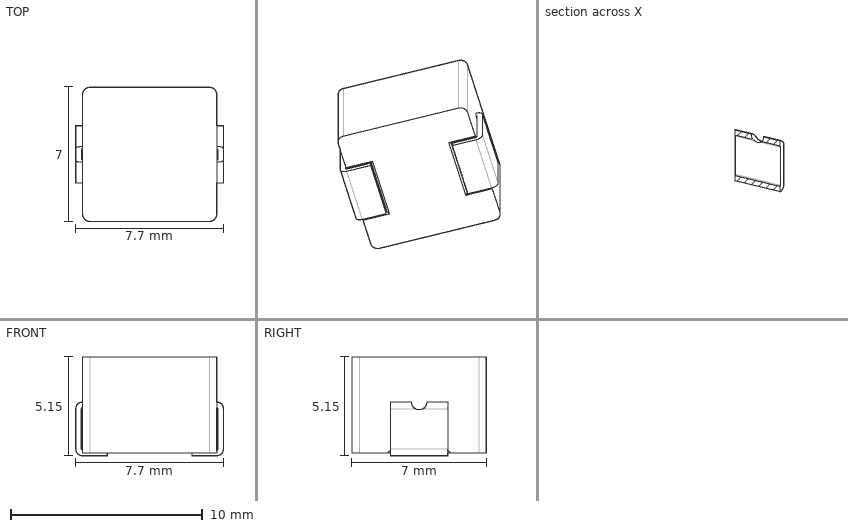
import cadquery as cq
import math

overall_length = 7.7
overall_height = 5.15

body_side = 7.0
body_corner_radius = 0.385
standoff = 0.15
body_height = overall_height - standoff

lead_thickness = 0.3
lead_width = 3.0
lead_height = 2.8
pad_end = 2.2
notch_radius = 0.4
lead_embed = 0.23

pocket_depth = 0.1
pocket_margin = 0.04
pocket_taper = math.radians(45)

body_half = body_side / 2
lead_outer = overall_length / 2
lead_inner = lead_outer - lead_thickness
bend_outer_radius = lead_outer - body_half
bend_inner_radius = bend_outer_radius - lead_thickness
lead_top = lead_height - standoff


def make_body():
    """Square block with rounded vertical corners."""
    block = cq.Workplane("XY").box(body_side, body_side, body_height, centered=(True, True, False))
    return block.edges("|Z").fillet(body_corner_radius)


def make_lead():
    """Lead on the +X side: C-shaped strip with a round notch in its upper bend."""
    diagonal = math.sqrt(0.5)
    upper_center = lead_top - bend_outer_radius
    lower_center = bend_outer_radius - standoff
    arm_end = body_half - lead_embed

    def bend_point(radius, center_z, direction):
        return (body_half + radius * diagonal, center_z + direction * radius * diagonal)

    strip = (
        cq.Workplane("XZ")
        .moveTo(pad_end, -standoff)
        .lineTo(body_half, -standoff)
        .threePointArc(bend_point(bend_outer_radius, lower_center, -1), (lead_outer, lower_center))
        .lineTo(lead_outer, upper_center)
        .threePointArc(bend_point(bend_outer_radius, upper_center, 1), (body_half, lead_top))
        .lineTo(arm_end, lead_top)
        .lineTo(arm_end, lead_top - lead_thickness)
        .lineTo(body_half, lead_top - lead_thickness)
        .threePointArc(bend_point(bend_inner_radius, upper_center, 1), (lead_inner, upper_center))
        .lineTo(lead_inner, lower_center)
        .threePointArc(
            bend_point(bend_inner_radius, lower_center, -1),
            (body_half, lead_thickness - standoff),
        )
        .lineTo(pad_end, lead_thickness - standoff)
        .close()
        .extrude(lead_width / 2, both=True)
    )
    notch = (
        cq.Workplane("YZ", origin=(body_half, 0, lead_top))
        .circle(notch_radius)
        .extrude(bend_outer_radius)
    )
    return strip.cut(notch)


def make_pocket():
    """Pocket on the +X side: open at the side face, sloping walls on the other three sides."""
    roof_length = body_half - pad_end + pocket_margin
    roof_width = lead_width + 2 * pocket_margin
    spread = pocket_depth * math.tan(pocket_taper)
    return (
        cq.Workplane("XY")
        .center(body_half - (roof_length + spread) / 2, 0)
        .rect(roof_length + spread, roof_width + 2 * spread)
        .workplane(offset=pocket_depth)
        .center(spread / 2, 0)
        .rect(roof_length, roof_width)
        .loft(ruled=True)
    )


def on_both_sides(shape):
    """Join a +X side feature with its copy on the -X side."""
    return shape.union(shape.mirror("YZ"))


result = make_body().cut(on_both_sides(make_pocket())).union(on_both_sides(make_lead()))